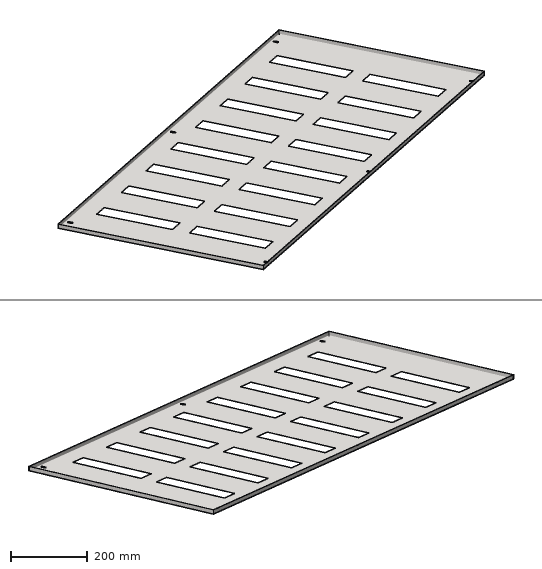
import cadquery as cq

width = 599.0
length = 1347.0
height = 12.9
sheet = 1.0

bend_inner_radius = 0.7
bend_outer_radius = bend_inner_radius + sheet

window_width = 221.0
window_length = 46.0
window_column_pitch = 270.0
window_row_span = 1053.0
window_columns = 2
window_rows = 8
window_row_pitch = window_row_span / (window_rows - 1)

slot_length = 15.0
slot_width = 7.0
slot_side_offset = 13.0
slot_row_pitch = 626.0
slot_columns = 2
slot_rows = 3
slot_column_pitch = width - 2 * slot_side_offset


def rounded_block(block_width, block_length, bottom, radius):
    """Block up to the rim height, with its four bottom edges rounded."""
    return (
        cq.Workplane("XY")
        .workplane(offset=bottom)
        .rect(block_width, block_length)
        .extrude(height - bottom)
        .faces("<Z")
        .edges()
        .fillet(radius)
    )


def make_tray():
    """Open tray: flat floor bent up into a thin wall on all four sides."""
    outside = rounded_block(width, length, 0, bend_outer_radius)
    inside = rounded_block(width - 2 * sheet, length - 2 * sheet, sheet, bend_inner_radius)
    return outside.cut(inside)


def make_windows():
    """Cutters for the grid of rectangular windows."""
    return (
        cq.Workplane("XY")
        .rarray(window_column_pitch, window_row_pitch, window_columns, window_rows)
        .rect(window_width, window_length)
        .extrude(sheet)
    )


def make_slots():
    """Cutters for the round-ended fixing slots, laid across the width."""
    return (
        cq.Workplane("XY")
        .rarray(slot_column_pitch, slot_row_pitch, slot_columns, slot_rows)
        .slot2D(slot_length, slot_width)
        .extrude(sheet)
    )


result = make_tray().cut(make_windows()).cut(make_slots())